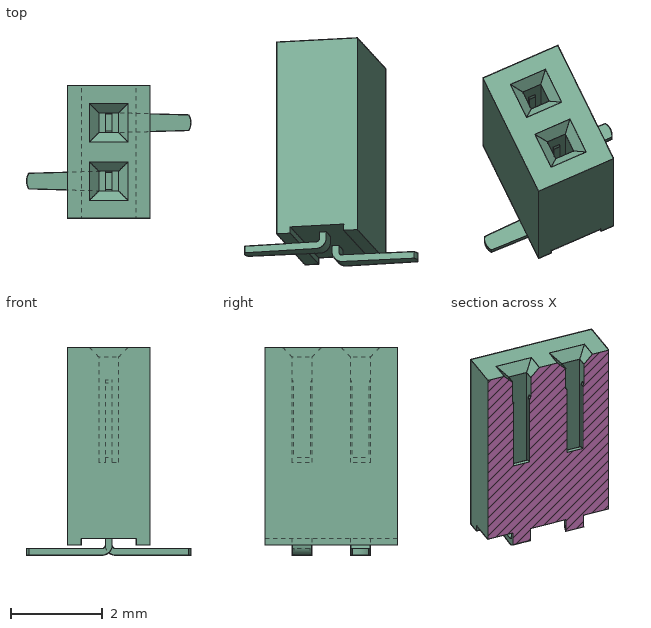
import cadquery as cq


housing_width = 1.80
housing_length = 2.89
overall_height = 4.525
standoff = 0.225
notch_width = 1.19
notch_depth = 0.14
notch_roof = standoff + notch_depth

pitch = 1.27
mouth_size = 0.84
hole_size = 0.43
funnel_depth = 0.21
socket_depth = 2.50
funnel_bottom = overall_height - funnel_depth
socket_floor = overall_height - socket_depth

contact_thickness = 0.15
contact_width = 0.43
tip_width = 0.345
tip_bulge = 0.05
overall_width = 3.58
inner_bend_radius = 0.075
outer_bend_radius = inner_bend_radius + contact_thickness
bend_end = contact_thickness / 2 + inner_bend_radius
lead_reach = overall_width / 2
stem_overlap = 0.30

prong_projection = 0.03
prong_lead_in = 0.06
prong_top = funnel_bottom - 0.50
fork_root = socket_floor + 0.10


def make_housing():
    """Upright block with a notch running along Y through its underside."""
    block = (
        cq.Workplane("XY", origin=(0, 0, standoff))
        .rect(housing_width, housing_length)
        .extrude(overall_height - standoff)
    )
    notch = (
        cq.Workplane("XY", origin=(0, 0, standoff))
        .rect(notch_width, housing_length)
        .extrude(notch_depth)
    )
    return block.cut(notch)


def make_socket(y_center):
    """Square hole with a four-sided funnel at its mouth, as a cutting body."""
    hole = (
        cq.Workplane("XY", origin=(0, y_center, socket_floor))
        .rect(hole_size, hole_size)
        .extrude(socket_depth)
    )
    funnel = (
        cq.Workplane("XY", origin=(0, y_center, funnel_bottom))
        .rect(hole_size, hole_size)
        .workplane(offset=funnel_depth)
        .rect(mouth_size, mouth_size)
        .loft(ruled=True)
    )
    return hole.union(funnel)


def make_fork(y_center):
    """U-shaped contact end: a bar across the floor and two prongs with sloped lead-ins."""
    half_hole = hole_size / 2
    half_gap = half_hole - prong_projection
    return (
        cq.Workplane("YZ", origin=(-contact_thickness / 2, y_center, 0))
        .moveTo(-half_hole, socket_floor)
        .lineTo(half_hole, socket_floor)
        .lineTo(half_hole, prong_top)
        .lineTo(half_gap, prong_top - prong_lead_in)
        .lineTo(half_gap, fork_root)
        .lineTo(-half_gap, fork_root)
        .lineTo(-half_gap, prong_top - prong_lead_in)
        .lineTo(-half_hole, prong_top)
        .close()
        .extrude(contact_thickness)
    )


def make_lead(y_center, side):
    """Stem, bend and tapered foot that reaches out toward side * X."""
    half_thickness = contact_thickness / 2
    stem_top = notch_roof + stem_overlap

    stem = (
        cq.Workplane("XZ", origin=(0, y_center + contact_width / 2, 0))
        .moveTo(-side * half_thickness, stem_top)
        .lineTo(-side * half_thickness, outer_bend_radius)
        .radiusArc((side * bend_end, 0), -side * outer_bend_radius)
        .lineTo(side * bend_end, contact_thickness)
        .radiusArc((side * half_thickness, outer_bend_radius), side * inner_bend_radius)
        .lineTo(side * half_thickness, stem_top)
        .close()
        .extrude(contact_width)
    )
    foot = (
        cq.Workplane("XY", origin=(0, y_center, 0))
        .moveTo(side * bend_end, -contact_width / 2)
        .lineTo(side * (lead_reach - tip_bulge), -tip_width / 2)
        .threePointArc((side * lead_reach, 0), (side * (lead_reach - tip_bulge), tip_width / 2))
        .lineTo(side * bend_end, contact_width / 2)
        .close()
        .extrude(contact_thickness)
    )
    return stem.union(foot)


result = make_housing()
for direction in (-1, 1):
    position_y = direction * pitch / 2
    result = result.cut(make_socket(position_y))
    result = result.union(make_fork(position_y))
    result = result.union(make_lead(position_y, direction))